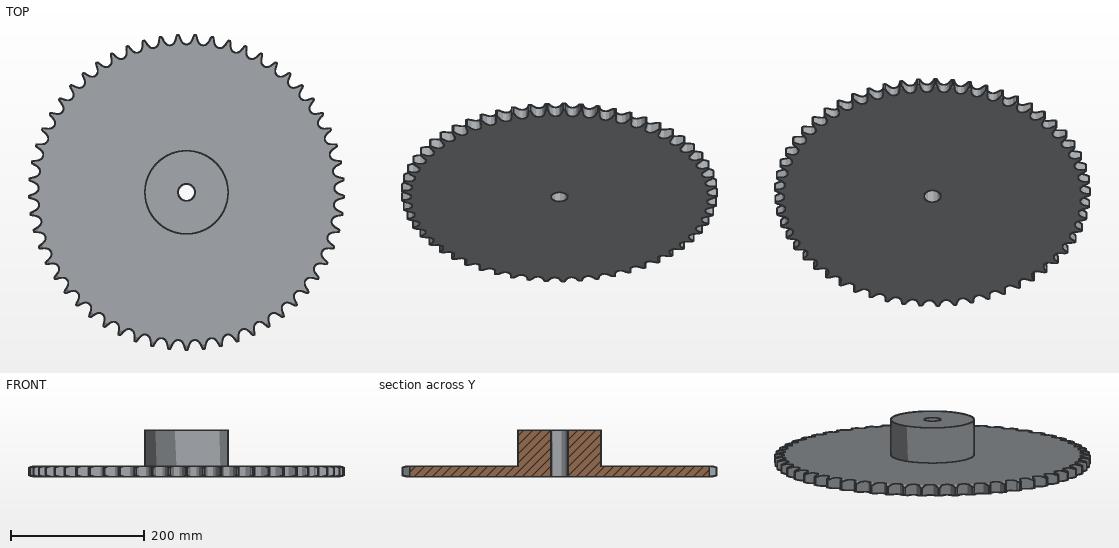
import cadquery as cq
import math

tooth_count = 57
tip_diameter = 474.0
pitch_diameter = 461.0
seat_radius = 8.0
seat_end_angle = 54.0
working_radius = 21.0
working_end_angle = 71.0
straight_length = 2.5
head_radius = 13.0

plate_thickness = 16.0
relief_depth = 11.0
relief_drop = 2.5
hub_diameter = 125.0
overall_height = 70.0
bore_diameter = 25.0

cut_clearance = 4.7

tip_radius = tip_diameter / 2
pitch_radius = pitch_diameter / 2
pitch_angle = 360 / tooth_count
axis_start = (0, 0, 0)
axis_end = (0, 0, 1)


def moved(start, distance, angle):
    """Point at a distance from a start point, in the direction of an angle in degrees."""
    turn = math.radians(angle)
    return start[0] + distance * math.cos(turn), start[1] + distance * math.sin(turn)


def tooth_side():
    """Points of one tooth side, from the bottom of a gap on +Y to the tip on its +X side.

    Each piece is tangent to the next: seat, hollow arc, straight stretch, rounded head.
    """
    middle_angle = (seat_end_angle + working_end_angle) / 2
    seat_centre = (0, pitch_radius)
    seat_bottom = moved(seat_centre, seat_radius, -90)
    seat_end = moved(seat_centre, seat_radius, seat_end_angle - 90)

    working_centre = moved(seat_end, working_radius, seat_end_angle + 90)
    working_middle = moved(working_centre, working_radius, middle_angle - 90)
    working_end = moved(working_centre, working_radius, working_end_angle - 90)

    head_start = moved(working_end, straight_length, working_end_angle)
    head_centre = moved(head_start, head_radius, working_end_angle - 90)

    centre_distance = math.hypot(*head_centre)
    centre_angle = math.degrees(math.atan2(head_centre[1], head_centre[0]))
    tip_cosine = (
        (tip_radius**2 + centre_distance**2 - head_radius**2) / (2 * tip_radius * centre_distance)
    )
    tip = moved((0, 0), tip_radius, centre_angle + math.degrees(math.acos(tip_cosine)))
    tip_angle = math.degrees(math.atan2(tip[1] - head_centre[1], tip[0] - head_centre[0]))
    head_middle = moved(head_centre, head_radius, (working_end_angle + 90 + tip_angle) / 2)

    return seat_bottom, seat_end, working_middle, working_end, head_start, head_middle, tip


def mirrored(point):
    """Point on the other side of the Y axis."""
    return -point[0], point[1]


def gap_cutter():
    """Prism that cuts the gap on +Y, reaching past the tip circle."""
    seat_bottom, seat_end, working_middle, working_end, head_start, head_middle, tip = tooth_side()
    outer_edge = tip_radius + cut_clearance
    return (
        cq.Workplane("XY")
        .moveTo(-tip[0], outer_edge)
        .lineTo(*mirrored(tip))
        .threePointArc(mirrored(head_middle), mirrored(head_start))
        .lineTo(*mirrored(working_end))
        .threePointArc(mirrored(working_middle), mirrored(seat_end))
        .threePointArc(seat_bottom, seat_end)
        .threePointArc(working_middle, working_end)
        .lineTo(*head_start)
        .threePointArc(head_middle, tip)
        .lineTo(tip[0], outer_edge)
        .close()
        .extrude(plate_thickness)
    )


def blank_sector():
    """Plate and hub with the bore, turned through one tooth pitch and centred on +Y.

    The rim curves smoothly away from both plate faces.
    """
    flat_radius = tip_radius - relief_depth
    rim_arc_radius = (relief_depth**2 + relief_drop**2) / (2 * relief_drop)
    bore_radius = bore_diameter / 2
    hub_radius = hub_diameter / 2
    return (
        cq.Workplane("XZ")
        .moveTo(bore_radius, 0)
        .lineTo(flat_radius, 0)
        .radiusArc((tip_radius, relief_drop), -rim_arc_radius)
        .lineTo(tip_radius, plate_thickness - relief_drop)
        .radiusArc((flat_radius, plate_thickness), -rim_arc_radius)
        .lineTo(hub_radius, plate_thickness)
        .lineTo(hub_radius, overall_height)
        .lineTo(bore_radius, overall_height)
        .close()
        .revolve(pitch_angle, (0, 0, 0), (0, 1, 0))
        .rotate(axis_start, axis_end, 90 - pitch_angle / 2)
    )


sector = blank_sector().cut(gap_cutter()).val()
sectors = [sector.rotate(axis_start, axis_end, index * pitch_angle) for index in range(tooth_count)]
sprocket = sectors[0].fuse(*sectors[1:]).clean()

result = cq.Workplane("XY").newObject([sprocket.Solids()[0]])